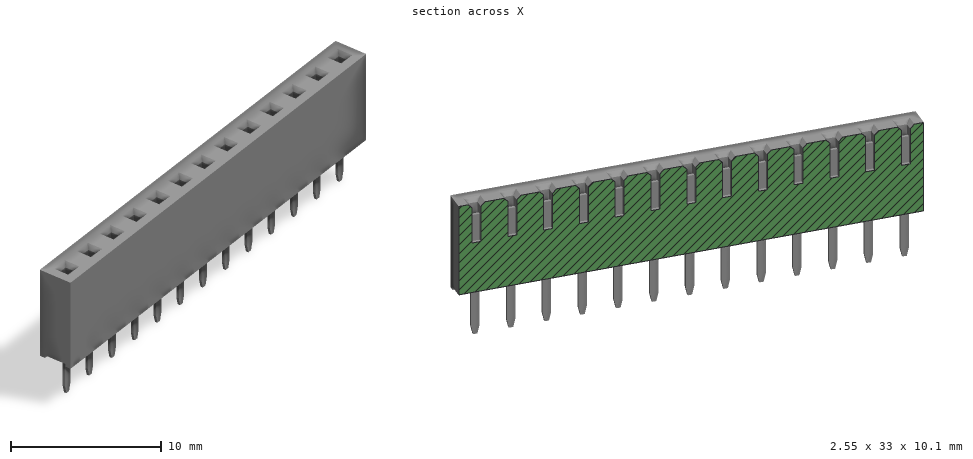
import cadquery as cq

contact_count = 13
housing_length = 33.02
housing_width = 2.55
housing_height = 7.0
pitch = housing_length / contact_count

foot_width = 0.43
channel_depth = 0.215
channel_width = housing_width - 2 * foot_width

lead_in_depth = 0.3
socket_throat = 2 * lead_in_depth
socket_mouth = socket_throat + 2 * lead_in_depth
socket_depth = 2.97

pin_thickness = 0.2
pin_width = socket_throat
pin_tip_width = pin_width / 2
pin_taper_height = 0.63
pin_length = 3.1
blade_clearance = 1.0

contact_positions = [
    (0, (index - (contact_count - 1) / 2) * pitch) for index in range(contact_count)
]


def make_housing():
    """Bar standing on Z = 0 with the relief channel along its underside."""
    bar = cq.Workplane("XY").box(
        housing_width, housing_length, housing_height, centered=(True, True, False)
    )
    channel = cq.Workplane("XY").box(
        channel_width, housing_length, channel_depth, centered=(True, True, False)
    )
    return bar.cut(channel)


def make_socket():
    """Material removed for one socket: the lead-in pyramid and the hole below it."""
    lead_in = (
        cq.Workplane("XY", origin=(0, 0, housing_height))
        .rect(socket_mouth, socket_mouth)
        .workplane(offset=-lead_in_depth)
        .rect(socket_throat, socket_throat)
        .loft(ruled=True)
    )
    hole = (
        cq.Workplane("XY", origin=(0, 0, housing_height - socket_depth))
        .rect(socket_throat, socket_throat)
        .extrude(socket_depth - lead_in_depth)
    )
    return lead_in.union(hole)


def make_pin():
    """Flat blade from inside the socket down to a tip narrowed in Y."""
    blade_top = housing_height - blade_clearance
    taper_top = pin_taper_height - pin_length
    outline = [
        (-pin_width / 2, blade_top),
        (pin_width / 2, blade_top),
        (pin_width / 2, taper_top),
        (pin_tip_width / 2, -pin_length),
        (-pin_tip_width / 2, -pin_length),
        (-pin_width / 2, taper_top),
    ]
    return cq.Workplane("YZ").polyline(outline).close().extrude(pin_thickness / 2, both=True)


def at_each_contact(shape):
    """Copies of a shape at every contact position."""
    return cq.Workplane("XY").pushPoints(contact_positions).eachpoint(
        lambda location: shape.val().moved(location)
    )


result = (
    make_housing()
    .cut(at_each_contact(make_socket()))
    .union(at_each_contact(make_pin()))
)